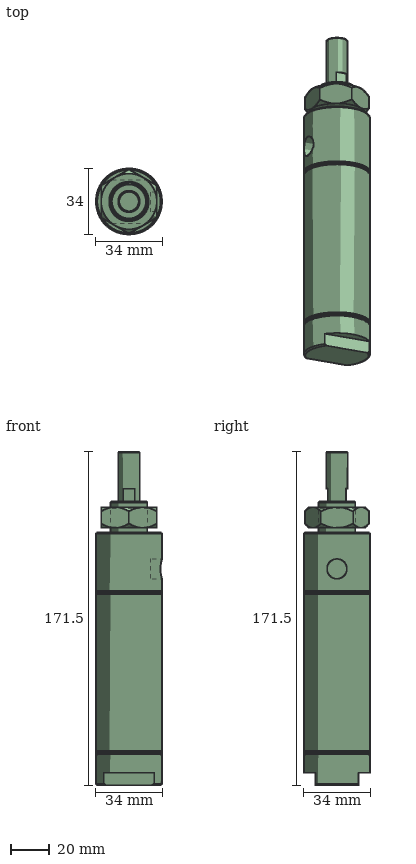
import cadquery as cq
import math

total_length = 171.45

housing_radius = 34.04 / 2
rim_chamfer = 0.8
rod_reach = 25.4
neck_length = 16.05
neck_radius = 19.05 / 2
neck_chamfer = 0.8
neck_top = total_length - rod_reach
housing_top = neck_top - neck_length

tooth_pitch = 1.03
tooth_depth = 0.8
teeth_per_crimp = 2
front_crimp_top = 99.9
rear_crimp_bottom = 15.9

tang_width = 22.225
tang_height = 6.35

port_diameter = 10.2
port_depth = 6.0
port_height = 111.2

rod_radius = 11.1125 / 2
rod_chamfer = 0.6
rod_flat_width = 9.525
rod_flat_length = 6.35

nut_across_flats = 28.575
nut_across_corners = nut_across_flats / math.cos(math.pi / 6)
nut_thickness = 10.7
nut_gap = 2.25
nut_bottom = housing_top + nut_gap
nut_countersink = 0.7


def crimp_tooth(step_z, direction):
    """Ring cut whose flat step lies at step_z and whose cone runs out in the given Z direction."""
    return (
        cq.Workplane("XZ")
        .moveTo(housing_radius - tooth_depth, step_z)
        .lineTo(housing_radius, step_z)
        .lineTo(housing_radius, step_z + direction * tooth_depth)
        .close()
        .revolve(360, (0, 0, 0), (0, 1, 0))
    )


def side_blocks(inner_width, bottom, height):
    """Two blocks on the -Y and +Y sides that leave inner_width between them."""
    size = 3 * housing_radius
    blocks = cq.Workplane("XY").box(size, size, height, centered=(True, True, False))
    gap = cq.Workplane("XY").box(size, inner_width, height, centered=(True, True, False))
    return blocks.cut(gap).translate((0, 0, bottom))


def make_housing():
    barrel = cq.Workplane("XY").circle(housing_radius).extrude(housing_top)
    barrel = barrel.faces("<Z or >Z").chamfer(rim_chamfer)

    for index in range(teeth_per_crimp):
        offset = index * tooth_pitch
        barrel = barrel.cut(crimp_tooth(front_crimp_top - offset, -1))
        barrel = barrel.cut(crimp_tooth(rear_crimp_bottom + offset, 1))

    barrel = barrel.cut(side_blocks(tang_width, 0, tang_height))

    port = (
        cq.Workplane("YZ", origin=(housing_radius - port_depth, 0, port_height))
        .circle(port_diameter / 2)
        .extrude(2 * port_depth)
    )
    barrel = barrel.cut(port)

    neck = (
        cq.Workplane("XY", origin=(0, 0, housing_top))
        .circle(neck_radius)
        .extrude(neck_length)
        .faces(">Z")
        .chamfer(neck_chamfer)
    )
    return barrel.union(neck)


def make_rod():
    rod = (
        cq.Workplane("XY", origin=(0, 0, neck_top))
        .circle(rod_radius)
        .extrude(rod_reach)
        .faces(">Z")
        .chamfer(rod_chamfer)
    )
    return rod.cut(side_blocks(rod_flat_width, neck_top, rod_flat_length))


def make_nut():
    hexagon = (
        cq.Workplane("XY")
        .polygon(6, nut_across_corners)
        .extrude(nut_thickness)
        .rotate((0, 0, 0), (0, 0, 1), 90)
    )
    corner_chamfer = (nut_across_corners - nut_across_flats) / 2
    disc = (
        cq.Workplane("XY")
        .circle(nut_across_corners / 2)
        .extrude(nut_thickness)
        .faces("<Z or >Z")
        .chamfer(corner_chamfer)
    )
    bore = cq.Workplane("XY").circle(neck_radius).extrude(nut_thickness)
    blank = hexagon.intersect(disc).cut(bore)
    bore_edges = cq.selectors.RadiusNthSelector(0)
    return blank.edges(bore_edges).chamfer(nut_countersink).translate((0, 0, nut_bottom))


housing = make_housing()
rod = make_rod()
nut = make_nut()

result = cq.Compound.makeCompound([housing.val(), rod.val(), nut.val()])